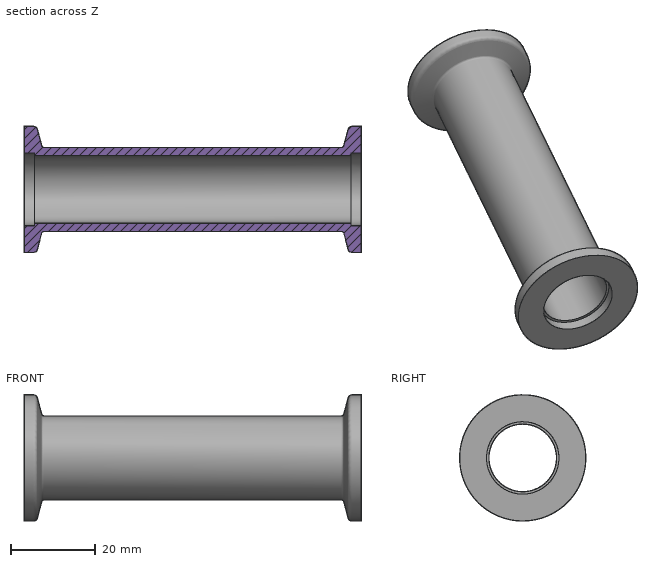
import cadquery as cq
import math

length = 80.0
flange_radius = 30.0 / 2
tube_radius = 20.0 / 2
bore_radius = 16.0 / 2

rim_width = 3.0
cone_angle = math.radians(15)
rim_fillet = 1.0
root_fillet = 0.5

recess_radius = 17.2 / 2
recess_depth = 2.4

half_length = length / 2
cone_width = (flange_radius - tube_radius) * math.tan(cone_angle)


def cylinder_x(radius, start, width):
    """Solid cylinder along X beginning at x = start."""
    return cq.Workplane("YZ").workplane(offset=start).circle(radius).extrude(width)


def fillet_circles(body, x, radius):
    """Round the circular edges in the planes at -x and +x."""
    margin = 0.1
    for centre in (-x, x):
        corner = (centre - margin, -flange_radius - margin, -flange_radius - margin)
        opposite = (centre + margin, flange_radius + margin, flange_radius + margin)
        edge_box = cq.selectors.BoxSelector(corner, opposite, boundingbox=True)
        body = body.edges(edge_box).fillet(radius)
    return body


def revolved_body():
    """Solid tube with a clamping flange at each end."""
    rim_x = half_length - rim_width
    root_x = rim_x - cone_width
    body = (
        cq.Workplane("XY")
        .moveTo(-half_length, 0)
        .lineTo(-half_length, flange_radius)
        .lineTo(-rim_x, flange_radius)
        .lineTo(-root_x, tube_radius)
        .lineTo(root_x, tube_radius)
        .lineTo(rim_x, flange_radius)
        .lineTo(half_length, flange_radius)
        .lineTo(half_length, 0)
        .close()
        .revolve(360, (0, 0, 0), (1, 0, 0))
    )
    body = fillet_circles(body, rim_x, rim_fillet)
    return fillet_circles(body, root_x, root_fillet)


result = revolved_body().cut(cylinder_x(bore_radius, -half_length, length))
for recess_start in (-half_length, half_length - recess_depth):
    result = result.cut(cylinder_x(recess_radius, recess_start, recess_depth))